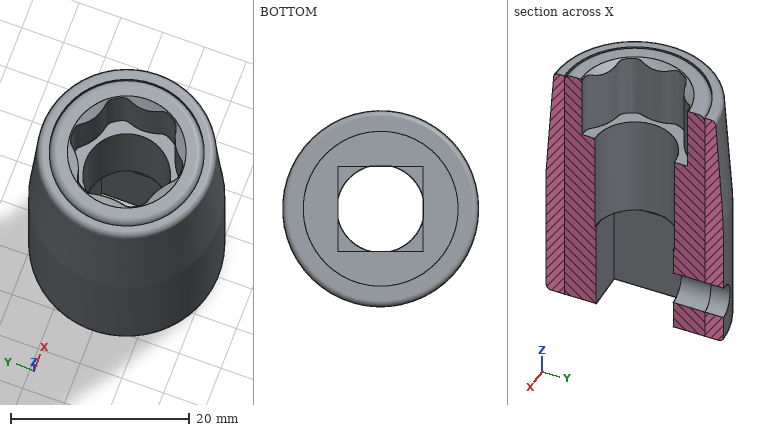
import cadquery as cq
import math

height = 32.3
sleeve_diameter = 22.0
sleeve_radius = sleeve_diameter / 2
sleeve_top_z = 32.05
taper_start_z = 17.4
shoulder_z = 31.33
shoulder_radius = 10.08
bottom_fillet = 0.65

insert_radius = 8.7
insert_top_fillet = 0.85

lobe_count = 6
crest_radius = 6.5
bulge_gap = 11.15
bulge_radius = 5.17
lobe_fillet = 1.32
socket_depth = 8.08
lead_in_radius = 6.65
lead_in_angle = 30.0

bore_radius = 4.9
drive_width = 9.53
drive_depth = 11.3

cross_hole_diameter = 4.25
cross_hole_z = 5.75


def make_cross_hole():
    """Radial cylinder from the axis out through the +Y side."""
    return cq.Workplane("XZ").center(0, cross_hole_z).circle(cross_hole_diameter / 2).extrude(-sleeve_radius)


def make_lobed_socket():
    """Round prism with inward bulges, blended where the bulges meet the round wall."""
    floor_z = height - socket_depth
    socket = cq.Workplane("XY", origin=(0, 0, floor_z)).circle(crest_radius).extrude(socket_depth)
    bulges = (
        cq.Workplane("XY", origin=(0, 0, floor_z))
        .polarArray(bulge_gap / 2 + bulge_radius, 0, 360, lobe_count)
        .circle(bulge_radius)
        .extrude(socket_depth, combine=False)
    )
    for bulge in bulges.vals():
        socket = socket.cut(cq.Workplane(bulge))
    return socket.edges("|Z").fillet(lobe_fillet)


def make_lead_in():
    """Cone that tapers downward from the top face."""
    cone_depth = lead_in_radius * math.tan(math.radians(lead_in_angle))
    return cq.Workplane(cq.Solid.makeCone(0, lead_in_radius, cone_depth, cq.Vector(0, 0, height - cone_depth)))


def make_sleeve():
    """Turned sleeve, tapered toward the top."""
    sleeve_top_fillet = sleeve_top_z - shoulder_z
    arc_offset = sleeve_top_fillet * math.sqrt(0.5)
    top_edge_radius = shoulder_radius - sleeve_top_fillet
    return (
        cq.Workplane("XZ")
        .moveTo(insert_radius, 0)
        .lineTo(sleeve_radius, 0)
        .lineTo(sleeve_radius, taper_start_z)
        .lineTo(shoulder_radius, shoulder_z)
        .threePointArc(
            (top_edge_radius + arc_offset, shoulder_z + arc_offset),
            (top_edge_radius, sleeve_top_z),
        )
        .lineTo(insert_radius, sleeve_top_z)
        .close()
        .revolve(360, (0, 0), (0, 1))
        .faces("<Z")
        .edges(cq.selectors.RadiusNthSelector(-1))
        .fillet(bottom_fillet)
        .cut(make_cross_hole())
    )


def make_insert():
    """Round insert with the lobed socket, bore, square drive and cross hole."""
    bore = (
        cq.Workplane("XY", origin=(0, 0, drive_depth))
        .circle(bore_radius)
        .extrude(height - drive_depth)
    )
    drive = cq.Workplane("XY").rect(drive_width, drive_width).extrude(drive_depth)
    return (
        cq.Workplane("XY")
        .circle(insert_radius)
        .extrude(height)
        .faces(">Z")
        .edges()
        .fillet(insert_top_fillet)
        .cut(make_lobed_socket())
        .cut(make_lead_in())
        .cut(bore)
        .cut(drive)
        .cut(make_cross_hole())
    )


sleeve = make_sleeve()
insert = make_insert()

result = cq.Compound.makeCompound([sleeve.val(), insert.val()])